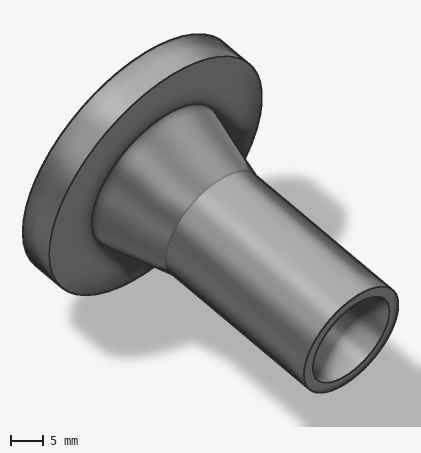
import cadquery as cq

total_length = 50.0
flange_diameter = 45.0
flange_thickness = 6.0
neck_base_diameter = 27.0
neck_length = 12.9
tube_diameter = 20.0
bore_diameter = 16.2

neck_end = flange_thickness + neck_length

body = (
    cq.Workplane("XY")
    .polyline([
        (0, 0),
        (0, -flange_diameter / 2),
        (flange_thickness, -flange_diameter / 2),
        (flange_thickness, -neck_base_diameter / 2),
        (neck_end, -tube_diameter / 2),
        (total_length, -tube_diameter / 2),
        (total_length, 0),
    ])
    .close()
    .revolve(360, (0, 0, 0), (1, 0, 0))
)

bore = cq.Workplane("YZ").circle(bore_diameter / 2).extrude(total_length)

result = body.cut(bore)